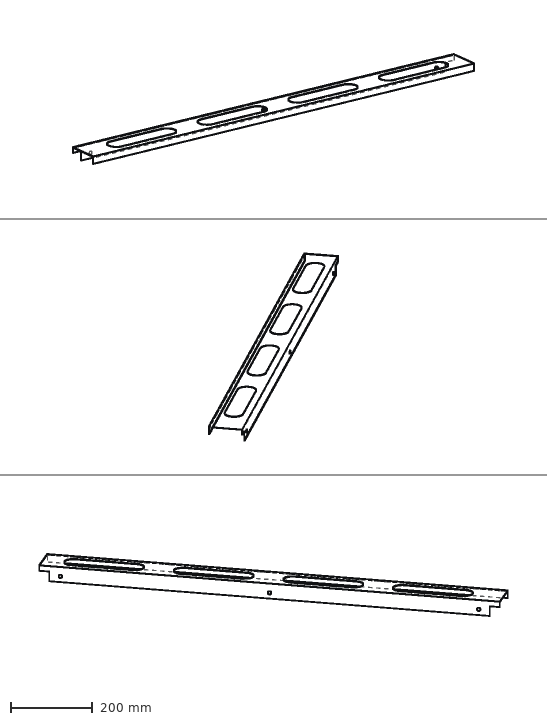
import cadquery as cq

width = 85.0
length = 1155.7
tall_flange_height = 40.0
short_flange_height = 20.0
thickness = 2.0

notch_length = 25.0
end_tab_height = 15.0

window_width = 46.0
window_length = 200.0
window_pitch = 275.0
window_count = 4
window_group_offset = 12.5

hole_diameter = 8.5
hole_count = 3
hole_pitch = 525.0
hole_depth_below_web = 25.0

cut_margin = 1.0

outer_x = width / 2
inner_x = outer_x - thickness


def make_channel():
    """Square-cornered channel: tall flange on -X, short flange on +X."""
    profile = [
        (-outer_x, 0),
        (outer_x, 0),
        (outer_x, -short_flange_height),
        (inner_x, -short_flange_height),
        (inner_x, -thickness),
        (-inner_x, -thickness),
        (-inner_x, -tall_flange_height),
        (-outer_x, -tall_flange_height),
    ]
    return cq.Workplane("XZ").polyline(profile).close().extrude(length / 2, both=True)


def tall_flange_workplane():
    """Workplane on the outside of the tall flange, ready for cutters running in +X."""
    return cq.Workplane("YZ").workplane(offset=-outer_x - cut_margin)


def make_notches():
    """Blocks that remove the lower corners of the tall flange at both ends."""
    notch_height = tall_flange_height - end_tab_height
    notch_y = (length - notch_length) / 2
    notch_z = -end_tab_height - notch_height / 2
    return (
        tall_flange_workplane()
        .pushPoints([(-notch_y, notch_z), (notch_y, notch_z)])
        .rect(notch_length, notch_height)
        .extrude(thickness + 2 * cut_margin)
    )


def make_windows():
    """Round-ended windows spaced evenly along the web."""
    return (
        cq.Workplane("XY")
        .workplane(offset=-thickness - cut_margin)
        .center(0, window_group_offset)
        .rarray(1, window_pitch, 1, window_count)
        .slot2D(window_length, window_width, 90)
        .extrude(thickness + 2 * cut_margin)
    )


def make_mounting_holes():
    """Row of round holes through the tall flange, centred along its length."""
    return (
        tall_flange_workplane()
        .center(0, -hole_depth_below_web)
        .rarray(hole_pitch, 1, hole_count, 1)
        .circle(hole_diameter / 2)
        .extrude(thickness + 2 * cut_margin)
    )


result = (
    make_channel()
    .cut(make_notches())
    .cut(make_windows())
    .cut(make_mounting_holes())
)